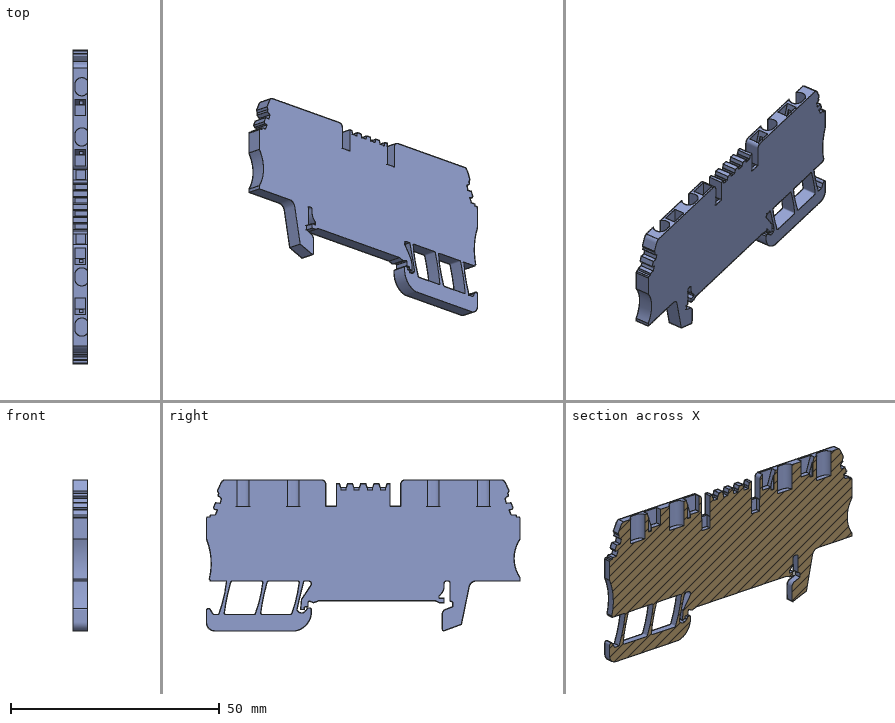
import cadquery as cq

WIDTH = 3.5
LENGTH = 75.15
HEIGHT = 36.2
HALF_WIDTH = WIDTH / 2
HALF_LENGTH = LENGTH / 2

BODY_BOTTOM = 11.95
FOOT_ROOT = BODY_BOTTOM + 0.75
TOP_CORNER_Y = 33.3
SIDE_HOLLOW_TOP = 22.0
INNER_CORNER_RADIUS = 1.1
SELECT_MARGIN = 0.1

SLOT_OUTER_Y = 8.95
SLOT_INNER_Y = 6.45
SLOT_FLOOR = 29.9
SLOT_WELL_X = (-1.05, 1.2)
SLOT_WELL_INSET = 0.1
SLOT_WELL_DEPTH = 3.0
BLOCK_TOP = 35.3

GROOVE_PITCH = 3.15
GROOVE_COUNT = 4
GROOVE_TOP_WIDTH = 1.95
GROOVE_FLOOR_WIDTH = 1.35
GROOVE_DEPTH = 0.9
POCKET_WIDTH = 1.2
POCKET_DEPTH = 0.6
RIM_THICKNESS = 0.45

OVAL_YS = (16.75, 28.8)
OVAL_X = 0.4
OVAL_LENGTH = 4.35
OVAL_RADIUS = 1.65
OVAL_DEPTH = 6.4
ENTRY_YS = (9.85, 21.9)
ENTRY_X = (-1.3, 1.2)
ENTRY_LENGTH = 3.9
ENTRY_DEPTH = 4.05
ENTRY_SLOPE_RUN = 1.35
PIN_HOLE_SIZE = 0.75
PIN_HOLE_X = 0.2
PIN_HOLE_INSET = 0.8
PIN_HOLE_DEPTH = 4.9

CLAMP_PITCH = 8.7
CLAMP_FLOOR = 4.0
WINDOW_COUNT = 2
WINDOW_CORNER_RADIUS = 0.3
RIB_INNER_EDGE = ((-14.2, BODY_BOTTOM), (-15.2, 8.1), (-15.85, CLAMP_FLOOR))
RIB_OUTER_EDGE = ((-15.3, BODY_BOTTOM), (-16.0, 8.0), (-17.2, CLAMP_FLOOR))

END_STEPS = [
    (34.95, 33.6), (34.65, 33.0), (34.8, 32.4), (34.0, 31.8), (34.3, 30.65), (35.4, 30.7),
    (35.9, 29.5), (35.6, 29.1), (34.95, 29.0), (35.25, 28.25), (35.5, 27.8), (36.6, 27.8),
    (36.75, 27.35), (37.35, 27.35), (HALF_LENGTH, 27.05),
]


def profile(y, z):
    """Start a YZ outline at the given point."""
    return cq.Workplane("YZ").workplane(offset=-HALF_WIDTH).moveTo(y, z)


def plate(outline):
    """Close an outline and extrude it over the full width."""
    return outline.close().extrude(WIDTH)


def box(x_range, y_range, z_range):
    """Box between the given limits."""
    (x0, x1), (y0, y1), (z0, z1) = x_range, y_range, z_range
    return cq.Workplane("XY").box(x1 - x0, y1 - y0, z1 - z0, centered=False).translate((x0, y0, z0))


def shifted(points, count):
    """Move rib edge points outward by a number of rib pitches."""
    return [(y - count * CLAMP_PITCH, z) for y, z in points]


def make_body():
    """Main plate with stepped ends, hollowed sides and the two jumper slots."""
    corner_mid = (33.75, 35.9)
    corner_end = (34.1, 35.4)
    outline = (
        profile(HALF_LENGTH, BODY_BOTTOM)
        .lineTo(HALF_LENGTH, 12.8)
        .threePointArc((36.15, 17.4), (HALF_LENGTH, SIDE_HOLLOW_TOP))
    )
    for point in reversed(END_STEPS):
        outline = outline.lineTo(*point)
    outline = (
        outline.lineTo(*corner_end)
        .threePointArc(corner_mid, (TOP_CORNER_Y, HEIGHT))
        .lineTo(-TOP_CORNER_Y, HEIGHT)
        .threePointArc((-corner_mid[0], corner_mid[1]), (-corner_end[0], corner_end[1]))
    )
    for y, z in END_STEPS:
        outline = outline.lineTo(-y, z)
    outline = (
        outline.lineTo(-HALF_LENGTH, SIDE_HOLLOW_TOP)
        .threePointArc((-36.45, 16.7), (-36.9, 12.5))
        .lineTo(-36.6, BODY_BOTTOM)
    )
    body = plate(outline)

    full_x = (-HALF_WIDTH, HALF_WIDTH)
    body = body.cut(box(full_x, (-SLOT_OUTER_Y, SLOT_OUTER_Y), (SLOT_FLOOR, HEIGHT)))
    rim_corners = cq.selectors.BoxSelector(
        (-WIDTH, -SLOT_OUTER_Y - SELECT_MARGIN, HEIGHT - SELECT_MARGIN),
        (WIDTH, SLOT_OUTER_Y + SELECT_MARGIN, HEIGHT + SELECT_MARGIN),
    )
    body = body.edges(rim_corners).fillet(INNER_CORNER_RADIUS)
    block = box(full_x, (-SLOT_INNER_Y, SLOT_INNER_Y), (SLOT_FLOOR, BLOCK_TOP))
    return body.union(block)


def make_hook_foot():
    """Fixed foot that hooks under one edge of the rail."""
    return plate(
        profile(27.1, FOOT_ROOT)
        .lineTo(27.1, BODY_BOTTOM)
        .threePointArc((26.1, 11.65), (25.4, 10.7))
        .lineTo(23.5, 1.6)
        .lineTo(19.2, 0)
        .lineTo(18.9, 0.2)
        .lineTo(18.85, 1.35)
        .lineTo(18.85, 3.9)
        .threePointArc((19.1, 4.65), (19.7, 5.2))
        .lineTo(21.4, 5.85)
        .lineTo(21.4, 6.9)
        .lineTo(20.75, 7.2)
        .lineTo(20.75, 11.6)
        .threePointArc((20.6, 11.9), (20.3, BODY_BOTTOM))
        .lineTo(20.3, FOOT_ROOT)
    )


def make_rail_seat():
    """Shallow block that rests on the rail, with a lip at each end."""
    return plate(
        profile(19.8, FOOT_ROOT)
        .lineTo(19.8, BODY_BOTTOM)
        .threePointArc((19.5, 11.8), (19.4, 11.5))
        .lineTo(19.4, 10.3)
        .threePointArc((18.9, 9.25), (18.2, 8.4))
        .lineTo(18.2, 7.9)
        .lineTo(19.4, 7.9)
        .lineTo(19.4, 6.8)
        .lineTo(18.25, 6.8)
        .lineTo(17.3, 7.2)
        .lineTo(-10.7, 7.2)
        .lineTo(-11.9, 6.8)
        .lineTo(-12.9, 7.15)
        .lineTo(-13.2, 6.9)
        .lineTo(-13.2, 5.85)
        .lineTo(-14.1, 5.7)
        .lineTo(-14.1, 5.1)
        .lineTo(-15.0, 5.1)
        .lineTo(-14.8, 7.6)
        .lineTo(-12.55, 11.0)
        .threePointArc((-12.55, 11.65), (-12.9, BODY_BOTTOM))
        .lineTo(-12.9, FOOT_ROOT)
    )


def make_clamp_foot():
    """Sprung clamp bar hanging from three slanted ribs, with two windows between them."""
    last_rib = shifted(RIB_OUTER_EDGE, WINDOW_COUNT)
    foot = plate(
        profile(*RIB_INNER_EDGE[0])
        .threePointArc(RIB_INNER_EDGE[1], (-15.85, 5.1))
        .threePointArc((-15.2, 4.4), (-14.3, 4.4))
        .lineTo(-13.6, 5.0)
        .lineTo(-13.4, 5.55)
        .lineTo(-12.8, 5.55)
        .lineTo(-12.4, 5.3)
        .lineTo(-12.4, 4.4)
        .threePointArc((-13.6, 1.5), (-16.2, 0))
        .lineTo(-35.55, 0)
        .threePointArc((-37.0, 0.6), (-HALF_LENGTH, 2.0))
        .lineTo(-HALF_LENGTH, 4.95)
        .threePointArc((-37.05, 5.4), (-36.5, 4.95))
        .lineTo(-35.9, CLAMP_FLOOR)
        .lineTo(*last_rib[2])
        .threePointArc(last_rib[1], last_rib[0])
    )
    for i in range(WINDOW_COUNT):
        near = shifted(RIB_OUTER_EDGE, i)
        far = shifted(RIB_INNER_EDGE, i + 1)
        window = plate(
            profile(*near[0])
            .threePointArc(near[1], near[2])
            .lineTo(*far[2])
            .threePointArc(far[1], far[0])
        )
        foot = foot.cut(window.edges("|X").fillet(WINDOW_CORNER_RADIUS))
    return foot


def make_groove(y):
    """Tapered marker groove with a pocket in its floor that leaves a thin rim on the -X side."""
    half_top = GROOVE_TOP_WIDTH / 2
    half_floor = GROOVE_FLOOR_WIDTH / 2
    floor = BLOCK_TOP - GROOVE_DEPTH
    groove = plate(
        profile(y - half_top, BLOCK_TOP)
        .lineTo(y - half_floor, floor)
        .lineTo(y + half_floor, floor)
        .lineTo(y + half_top, BLOCK_TOP)
    )
    pocket = box(
        (RIM_THICKNESS - HALF_WIDTH, HALF_WIDTH),
        (y - POCKET_WIDTH / 2, y + POCKET_WIDTH / 2),
        (floor - POCKET_DEPTH, floor),
    )
    return groove.union(pocket)


def make_slot_well():
    """Rectangular well in the floor of the +Y jumper slot, inside a narrow ledge."""
    y_range = (SLOT_INNER_Y + SLOT_WELL_INSET, SLOT_OUTER_Y - SLOT_WELL_INSET)
    return box(SLOT_WELL_X, y_range, (SLOT_FLOOR - SLOT_WELL_DEPTH, SLOT_FLOOR))


def make_oval_opening(y):
    """Oval tool opening that breaks out through the +X face."""
    return (
        cq.Workplane("XY", origin=(OVAL_X, y, HEIGHT - OVAL_DEPTH))
        .slot2D(OVAL_LENGTH, 2 * OVAL_RADIUS, 90)
        .extrude(OVAL_DEPTH)
    )


def make_wire_entry(y):
    """Rectangular entry starting at y, with a sloped outer wall and a small pin hole in the slope."""
    x0, x1 = ENTRY_X
    outer_y = y + ENTRY_LENGTH
    funnel = (
        cq.Workplane("YZ", origin=(x0, 0, 0))
        .moveTo(y, HEIGHT)
        .lineTo(y, HEIGHT - ENTRY_DEPTH)
        .lineTo(outer_y - ENTRY_SLOPE_RUN, HEIGHT - ENTRY_DEPTH)
        .lineTo(outer_y, HEIGHT)
        .close()
        .extrude(x1 - x0)
    )
    pin_hole = (
        cq.Workplane("XY", origin=(PIN_HOLE_X, outer_y - PIN_HOLE_INSET, HEIGHT - PIN_HOLE_DEPTH))
        .rect(PIN_HOLE_SIZE, PIN_HOLE_SIZE)
        .extrude(PIN_HOLE_DEPTH)
    )
    return funnel.union(pin_hole)


result = make_body().union(make_hook_foot()).union(make_rail_seat()).union(make_clamp_foot())

for i in range(GROOVE_COUNT):
    groove_y = (i - (GROOVE_COUNT - 1) / 2) * GROOVE_PITCH
    result = result.cut(make_groove(groove_y))

end_openings = [make_slot_well()]
end_openings += [make_oval_opening(y) for y in OVAL_YS]
end_openings += [make_wire_entry(y) for y in ENTRY_YS]
for opening in end_openings:
    result = result.cut(opening).cut(opening.mirror("XZ"))